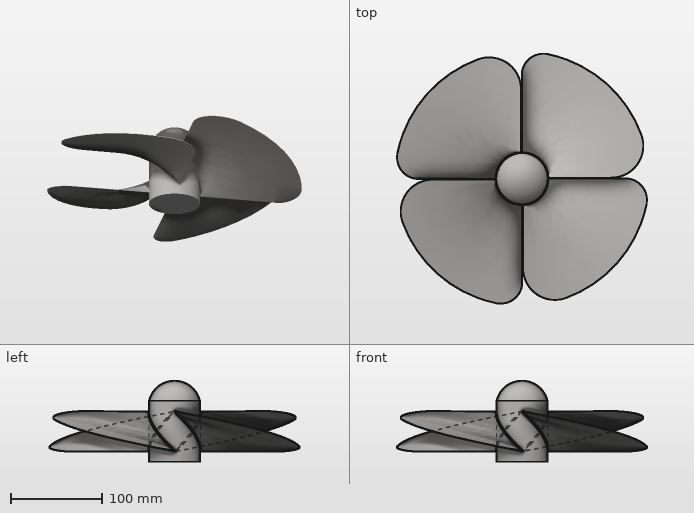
import cadquery as cq
import math

hub_radius = 28.0
hub_height = 66.65
dome_height = 22.2

blade_count = 4
blade_angle = 360 / blade_count
blade_rise = 44.45
blade_thickness = 0.5
blade_bottom = (hub_height - blade_rise) / 2
plate_lift = 0.2
tip_radius = 139.3
leading_corner_radius = 35.0
trailing_corner_radius = 24.0
leading_gap = 1.0
trailing_overhang = 0.5

root_radial_reach = 1.5
root_half_height = 2.2

over_turn = 15
root_embed = 3.0
tip_margin = 5.0

helix_pitch = blade_rise * 360 / blade_angle
helix_turn = blade_angle + 2 * over_turn
helix_height = helix_pitch * helix_turn / 360
helix_bottom = blade_bottom + plate_lift - helix_pitch * over_turn / 360


def place_helical(shape):
    """Move a shape built on a left-hand helix from the +X axis so the blade fills the +X +Y quadrant."""
    return shape.rotate((0, 0, 0), (0, 0, 1), blade_angle + over_turn).translate((0, 0, helix_bottom))


def helix(radius):
    """Left-hand helix with the blade's pitch at the given radius."""
    return cq.Wire.makeHelix(helix_pitch, helix_height, radius, lefthand=True)


def helicoid_plate():
    """Thin plate with half its thickness on each side of the helicoid."""
    inner_edge = helix(hub_radius - root_embed).Edges()[0]
    outer_edge = helix(tip_radius + tip_margin).Edges()[0]
    surface = cq.Face.makeRuledSurface(inner_edge, outer_edge)
    upper_half = surface.thicken(blade_thickness / 2)
    lower_half = surface.thicken(-blade_thickness / 2)
    return cq.Workplane(place_helical(upper_half.fuse(lower_half).clean()))


def root_fillet():
    """Strip of concave-sided section that winds along the hub and blends the blade into it."""
    root = hub_radius - root_embed
    reach = hub_radius + root_radial_reach
    plate_half_height = blade_thickness / 2
    arc_middle = 1 - math.sqrt(0.5)
    arc_radial = hub_radius + root_radial_reach * arc_middle
    arc_height = plate_half_height + (root_half_height - plate_half_height) * arc_middle
    section = (
        cq.Workplane("XZ")
        .moveTo(root, -root_half_height)
        .lineTo(hub_radius, -root_half_height)
        .threePointArc((arc_radial, -arc_height), (reach, -plate_half_height))
        .lineTo(reach, plate_half_height)
        .threePointArc((arc_radial, arc_height), (hub_radius, root_half_height))
        .lineTo(root, root_half_height)
        .close()
    )
    strip = section.sweep(cq.Workplane(helix(hub_radius)), isFrenet=True)
    return cq.Workplane(place_helical(strip.val()))


def upright_block(x_start, y_start):
    """Block over the +X +Y quadrant from the given corner, standing on the blade's bottom level."""
    return (
        cq.Workplane("XY", origin=(x_start, y_start, blade_bottom))
        .rect(2 * tip_radius, 2 * tip_radius, centered=False)
        .extrude(hub_height)
    )


def blade_outline():
    """Upright block with the blade's plan shape: quarter disc with two rounded corners."""
    disc = cq.Workplane("XY").circle(tip_radius).extrude(2 * hub_height)
    outline = upright_block(-trailing_overhang, leading_gap).intersect(disc)
    trailing_edge = cq.selectors.NearestToPointSelector((-trailing_overhang, tip_radius, hub_height))
    outline = outline.edges(trailing_edge).fillet(trailing_corner_radius)
    leading_edge = cq.selectors.NearestToPointSelector((tip_radius, leading_gap, hub_height))
    return outline.edges(leading_edge).fillet(leading_corner_radius)


def make_blade():
    """Blade in the +X +Y quadrant with its root fillet, hollowed to seat on the round of the hub."""
    hub_core = cq.Workplane("XY").circle(hub_radius).extrude(2 * hub_height)
    plate = helicoid_plate().intersect(blade_outline()).cut(hub_core)
    fillet_room = upright_block(-hub_radius / 2, leading_gap)
    fillet = root_fillet().intersect(fillet_room).cut(hub_core)
    return plate.union(fillet)


def make_hub():
    """Round hub with its domed end, turned from half a section."""
    dome_radius = (hub_radius**2 + dome_height**2) / (2 * dome_height)
    top = hub_height + dome_height
    half_angle = math.asin(hub_radius / dome_radius) / 2
    arc_middle = (dome_radius * math.sin(half_angle), top - dome_radius * (1 - math.cos(half_angle)))
    return (
        cq.Workplane("XZ")
        .lineTo(hub_radius, 0)
        .lineTo(hub_radius, hub_height)
        .threePointArc(arc_middle, (0, top))
        .close()
        .revolve(360, (0, 0, 0), (0, 1, 0))
    )


first_blade = make_blade()
other_blades = []
for index in range(1, blade_count):
    turned_blade = first_blade.rotate((0, 0, 0), (0, 0, 1), index * blade_angle)
    other_blades.append(turned_blade)

hub = make_hub().union(first_blade)

result = cq.Compound.makeCompound([hub.val()] + [blade.val() for blade in other_blades])